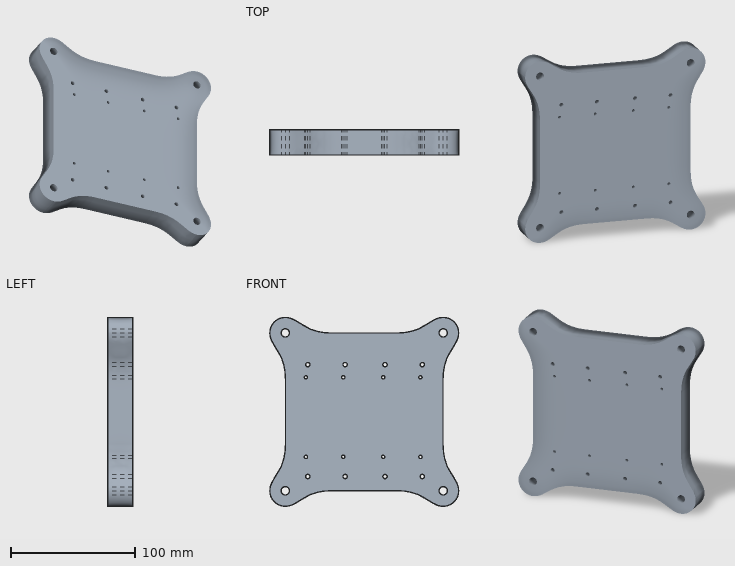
import cadquery as cq

overall_size = 152.03
thickness = 20.37
mount_pitch = 127.0
straight_length = 53.2
ear_pull = 11.0
side_pull = 22.5

mount_diameter = 6.5
large_diameter = 3.33
small_diameter = 2.53

pair_spacing = 30.0
pair_offset = 62.1
large_first_x = -45.4
large_bottom_z = -52.0
large_row_spacing = 90.0
small_first_x = -46.9
small_bottom_z = -36.2
small_row_spacing = 64.0

half_size = overall_size / 2
half_pitch = mount_pitch / 2
half_straight = straight_length / 2
ear_radius = half_size - half_pitch


def side_edges():
    """Top side from left to right: blend, flat, blend, then the ear arc at the right corner."""
    blend_points = [
        (half_pitch, half_size),
        (half_pitch - ear_pull, half_size),
        (half_straight + side_pull, half_pitch),
        (half_straight, half_pitch),
    ]
    right_blend = cq.Edge.makeBezier([cq.Vector(x, 0, z) for x, z in reversed(blend_points)])
    left_blend = cq.Edge.makeBezier([cq.Vector(-x, 0, z) for x, z in blend_points])
    flat = cq.Edge.makeLine(
        cq.Vector(-half_straight, 0, half_pitch),
        cq.Vector(half_straight, 0, half_pitch),
    )
    diagonal_reach = half_pitch + ear_radius / 2**0.5
    ear = cq.Edge.makeThreePointArc(
        cq.Vector(half_pitch, 0, half_size),
        cq.Vector(diagonal_reach, 0, diagonal_reach),
        cq.Vector(half_size, 0, half_pitch),
    )
    return [left_blend, flat, right_blend, ear]


def plate():
    """Outline of four equal sides, extruded evenly about the XZ plane."""
    edges = []
    for quarter_turn in range(4):
        angle = 90 * quarter_turn
        for edge in side_edges():
            edges.append(edge.rotate(cq.Vector(0, 0, 0), cq.Vector(0, 1, 0), angle))
    outline = cq.Wire.assembleEdges(edges)
    body = cq.Solid.extrudeLinear(outline, [], cq.Vector(0, thickness, 0))
    return cq.Workplane(body.translate(cq.Vector(0, -thickness / 2, 0)))


def hole_pins(points, diameter):
    """Cylinders along Y through the full thickness at the given (x, z) points."""
    plane = cq.Workplane("XZ").pushPoints(points)
    return plane.circle(diameter / 2).extrude(thickness, both=True)


def grid_points(first_x, bottom_z, row_spacing):
    """Hole centres of one grid: two rows, each with two pairs of holes."""
    points = []
    for z in (bottom_z, bottom_z + row_spacing):
        for pair_x in (first_x, first_x + pair_offset):
            points.append((pair_x, z))
            points.append((pair_x + pair_spacing, z))
    return points


mount_points = [(x, z) for x in (-half_pitch, half_pitch) for z in (-half_pitch, half_pitch)]
large_points = grid_points(large_first_x, large_bottom_z, large_row_spacing)
small_points = grid_points(small_first_x, small_bottom_z, small_row_spacing)

result = plate()
result = result.cut(hole_pins(mount_points, mount_diameter))
result = result.cut(hole_pins(large_points, large_diameter))
result = result.cut(hole_pins(small_points, small_diameter))